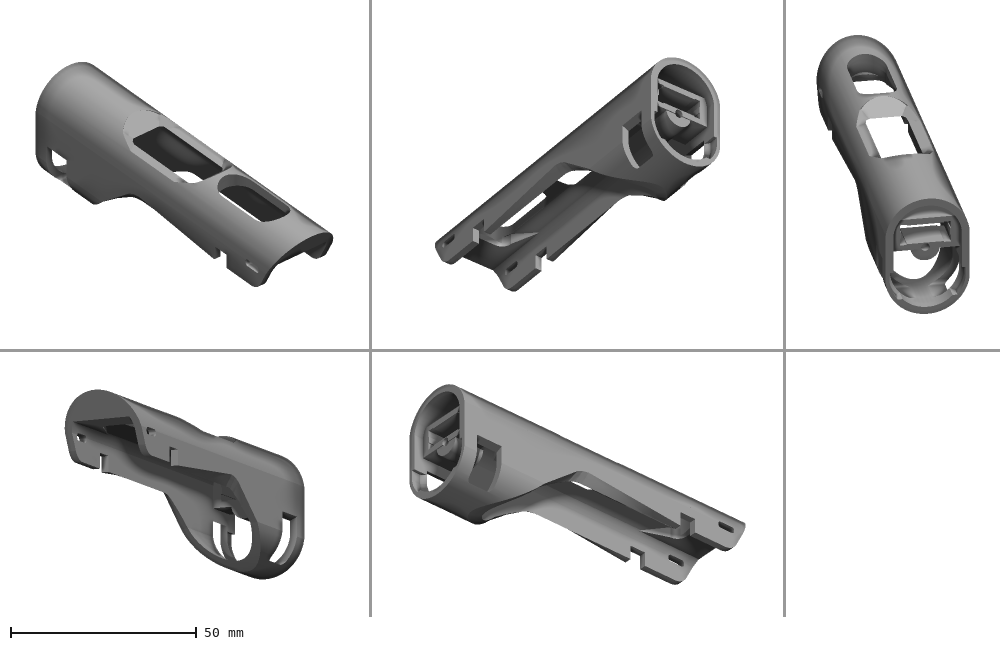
import cadquery as cq
import math


margin = 5.0

length = 103.13
width = 23.0
height = 34.41
half_width = width / 2
arc_rise = 10.0
arc_radius = (half_width**2 + arc_rise**2) / (2 * arc_rise)
wall = 2.1

grip_end_x = 12.3
grip_mid = (17.7, -32.2)
grip_side_end = (28.2, -24.5)
neck_mid = (33.6, -20.9)
neck_top = (39.0, -17.9)
neck_bend = (40.8, -17.3)
belly_x = 43.0
belly_z = -17.1
nose_slope = 5.07 / arc_rise
nose_radius = 4.5

bevel_end = (75.6, belly_z)
bevel_outer = [grip_side_end, (39.7, -15.4), (41.6, -14.5), (43.7, -14.1), bevel_end]
bevel_inner = [grip_side_end, (38.3, -18.2), (40.6, -17.5), (belly_x, belly_z), bevel_end]

roof_z = -4.1
roof_half_width = 5.4
rear_cavity_end = 22.0
roof_start = 27.0

bulkhead_x = 3.0
bulkhead_thickness = 10.0
bulkhead_top = -7.2
bulkhead_bottom = -16.4
socket_width = 14.0
socket_top = -8.75
socket_bottom = -14.8
rib_height = 0.25
long_rib = 10.2
short_rib = 1.9
pin_hole_diameter = 2.36
pin_z = -15.95
pin_boss_radius = 4.0
pin_boss_setback = 0.3

relief_wall = 1.1
relief_straight = 2.9
relief_end = 4.4
relief_top = -21.3
relief_bottom = -29.4

side_window_x = (4.4, 13.1)
side_window_top = -19.0
side_window_bottom = -32.0
side_window_slope = 0.95
side_window_radius = 1.2

dish_x = (28.1, 64.7)
dish_half_width = 8.8
dish_floor = -4.4
dish_side_run = 38.0
dish_corner_run = 6.3
pane_x = (33.3, 59.5)
pane_width = 11.5
pane_corner = 1.5

slot_window_x = (66.5, 91.2)
slot_window_width = 10.8
nose_block_x = 89.8
nose_block_corner = 3.0
nose_block_flank_x = 76.0
nose_block_bottom = -7.4
ledge_crown = -5.4
ledge_drop = 1.6

notch_x = (76.1, 81.2)
notch_top = -12.75
strap_slot_x = (89.4, 94.9)
strap_slot_z = (-11.6, -9.6)
strap_slot_radius = 0.8


def box(x_range, y_range, z_range):
    size = [high - low for low, high in (x_range, y_range, z_range)]
    return cq.Workplane("XY").box(*size, centered=False).translate((x_range[0], y_range[0], z_range[0]))


def across(x_range, z_range):
    """Box running through the full width of the body."""
    return box(x_range, (-width, width), z_range)


def section(plane, thickness):
    """Body cross-section moved inwards by the given thickness."""
    radius = arc_radius - thickness
    half = half_width - thickness
    rise = math.sqrt(radius**2 - half**2)
    upper_centre = -arc_radius
    lower_centre = arc_radius - height
    return (
        plane.moveTo(-half, upper_centre + rise)
        .threePointArc((0, upper_centre + radius), (half, upper_centre + rise))
        .lineTo(half, lower_centre - rise)
        .threePointArc((0, lower_centre - radius), (-half, lower_centre - rise))
        .close()
    )


def tube(thickness, x_end):
    """Solid bar of the body section, from the open end to x_end."""
    return section(cq.Workplane("YZ"), thickness).extrude(x_end)


def side_profile():
    """Outline of the body seen from the side, cut through the full width."""
    corner_x = length + nose_slope * belly_z
    profile = (
        cq.Workplane("XZ").moveTo(0, 0)
        .lineTo(length, 0)
        .lineTo(corner_x, belly_z)
        .lineTo(belly_x, belly_z)
        .threePointArc(neck_bend, neck_top)
        .threePointArc(neck_mid, grip_side_end)
        .threePointArc(grip_mid, (grip_end_x, -height))
        .lineTo(0, -height)
        .close()
        .extrude(half_width, both=True)
    )
    nose_corner = cq.selectors.NearestToPointSelector((corner_x, 0, belly_z))
    return profile.edges("|Y").edges(nose_corner).fillet(nose_radius)


def edge_bevel(side):
    """Wedge that lifts the outer lower edge of one side wall."""
    def wire(points, y):
        floor = [(points[-1][0], -height), (points[0][0], -height)]
        corners = [cq.Vector(x, side * y, z) for x, z in points + floor]
        return cq.Wire.makePolygon(corners, close=True)

    inner = wire(bevel_inner, half_width - wall)
    outer = wire(bevel_outer, half_width)
    return cq.Workplane(cq.Solid.makeLoft([inner, outer], True))


def roof_section(plane, top, flat_half_width):
    """Cavity limit with a flat roof and 45 degree shoulders."""
    shoulder = half_width - flat_half_width
    return plane.polyline([
        (-half_width, -height),
        (-half_width, top - shoulder),
        (-flat_half_width, top),
        (flat_half_width, top),
        (half_width, top - shoulder),
        (half_width, -height),
    ]).close()


def cavity():
    """Hollow with a round rear chamber that steps down to a lower faceted roof."""
    rise = -wall - roof_z
    rear = across((0, rear_cavity_end), (-height, 0))
    step = roof_section(cq.Workplane("YZ").workplane(offset=rear_cavity_end), -wall, roof_half_width + rise)
    step = roof_section(step.workplane(offset=roof_start - rear_cavity_end), roof_z, roof_half_width)
    step = step.loft(ruled=True)
    front_plane = cq.Workplane("YZ").workplane(offset=roof_start)
    front = roof_section(front_plane, roof_z, roof_half_width).extrude(length - roof_start)
    return tube(wall, length).intersect(rear.union(step).union(front))


def rim_relief():
    """Shallow widening of the bore behind the rim that tapers back to the wall."""
    straight = tube(relief_wall, relief_straight)
    taper = section(cq.Workplane("YZ").workplane(offset=relief_straight), relief_wall)
    taper = section(taper.workplane(offset=relief_end - relief_straight), wall).loft(ruled=True)
    return straight.union(taper).intersect(across((0, relief_end), (relief_bottom, relief_top)))


def bulkhead():
    """Plate across the cavity with a ribbed socket and a pin hole in a round boss."""
    x_range = (bulkhead_x, bulkhead_x + bulkhead_thickness)
    half_socket = socket_width / 2
    plate = across(x_range, (bulkhead_bottom, bulkhead_top)).intersect(tube(wall / 2, length))
    socket = box(x_range, (-half_socket, half_socket), (socket_bottom, socket_top))
    middle = (socket_top + socket_bottom) / 2
    for z_range in ((socket_top - rib_height, socket_top), (socket_bottom, socket_bottom + rib_height)):
        socket = socket.cut(box(x_range, (-long_rib / 2, long_rib / 2), z_range))
    for y_range in ((-half_socket, rib_height - half_socket), (half_socket - rib_height, half_socket)):
        socket = socket.cut(box(x_range, y_range, (middle - short_rib / 2, middle + short_rib / 2)))
    pin_plane = cq.Workplane("YZ").workplane(offset=bulkhead_x).center(0, pin_z)
    boss = pin_plane.circle(pin_boss_radius).extrude(bulkhead_thickness)
    boss = boss.intersect(across((bulkhead_x + pin_boss_setback, x_range[1]), (-height, pin_z)))
    pin_hole = pin_plane.circle(pin_hole_diameter / 2).extrude(bulkhead_thickness)
    return plate.union(boss).cut(socket).cut(pin_hole)


def nose_block():
    """Filling of the upper cavity at the nose, its rear face hollowed between splayed flanks."""
    half_slot = slot_window_width / 2
    arc_mid = nose_block_corner * (1 - math.sqrt(0.5))
    flank_y = half_width - wall
    plan = (
        cq.Workplane("XY", origin=(0, 0, nose_block_bottom)).moveTo(length, flank_y)
        .lineTo(nose_block_flank_x, flank_y)
        .lineTo(nose_block_x - nose_block_corner, half_slot)
        .threePointArc(
            (nose_block_x - arc_mid, half_slot - arc_mid),
            (nose_block_x, half_slot - nose_block_corner),
        )
        .lineTo(nose_block_x, nose_block_corner - half_slot)
        .threePointArc(
            (nose_block_x - arc_mid, arc_mid - half_slot),
            (nose_block_x - nose_block_corner, -half_slot),
        )
        .lineTo(nose_block_flank_x, -flank_y)
        .lineTo(length, -flank_y)
        .close()
        .extrude(-nose_block_bottom)
    )
    return plan.intersect(tube(wall / 2, length))


def side_window():
    """Opening through both sides of the grip, its upper edge falling inwards."""
    window = across(side_window_x, (side_window_bottom, side_window_top - side_window_slope))
    window = window.edges("|Y").edges("<Z").fillet(side_window_radius)
    start, end = side_window_x
    low = side_window_top - side_window_slope
    for side in (-1, 1):
        slope = (
            cq.Workplane("YZ").workplane(offset=start)
            .polyline([
                (side * (half_width - wall), low),
                (side * half_width, side_window_top),
                (side * half_width, low - side_window_radius),
                (side * (half_width - wall), low - side_window_radius),
            ]).close().extrude(end - start)
        )
        window = window.union(slope)
    return window


def flared_trough(half_floor, run, angle):
    """Trough with two sloped sides that face along the direction at the given angle about Z."""
    trough = (
        cq.Workplane("XZ")
        .polyline([
            (-half_floor, dish_floor),
            (half_floor, dish_floor),
            (half_floor + run, 0),
            (-half_floor - run, 0),
        ]).close().extrude(length, both=True)
    )
    return trough.rotate((0, 0, 0), (0, 0, 1), angle)


def dish_window():
    """Recess with a stadium outline whose walls slope down to a smaller opening."""
    dish_length = dish_x[1] - dish_x[0]
    half_x = (pane_x[1] - pane_x[0]) / 2
    half_y = pane_width / 2
    half_diagonal = (half_x + half_y - pane_corner) / math.sqrt(2)
    floor = cq.Workplane("XY", origin=(0, 0, dish_floor))
    dish = floor.slot2D(dish_length, 2 * dish_half_width).extrude(-dish_floor)
    dish = dish.intersect(flared_trough(half_x, dish_length / 2 - half_x, 0))
    dish = dish.intersect(flared_trough(half_y, dish_side_run, 90))
    for angle in (-45, 45):
        dish = dish.intersect(flared_trough(half_diagonal, dish_corner_run, angle))
    pane = floor.rect(2 * half_x, pane_width).extrude(-margin)
    pane = pane.edges("|Z").fillet(pane_corner)
    return dish.union(pane).translate((sum(dish_x) / 2, 0, 0))


def slot_window():
    """Round-ended opening whose curved floor leaves a ledge on the nose block."""
    start, end = slot_window_x
    half_slot = slot_window_width / 2
    depth = -ledge_crown + ledge_drop
    opening = (
        cq.Workplane("XY", origin=((start + end) / 2, 0, -depth))
        .slot2D(end - start, slot_window_width).extrude(depth)
    )
    ledge = (
        cq.Workplane("YZ", origin=(nose_block_x - nose_block_corner, 0, 0))
        .moveTo(-half_slot, -depth)
        .threePointArc((0, ledge_crown), (half_slot, -depth))
        .close().extrude(nose_block_corner + end - nose_block_x)
    )
    return opening.cut(ledge)


def strap_slot():
    return across(strap_slot_x, strap_slot_z).edges("|Y").fillet(strap_slot_radius)


body = tube(0, length).cut(cavity()).union(bulkhead()).union(nose_block())
body = body.cut(rim_relief()).cut(dish_window()).cut(slot_window())
body = body.cut(side_window()).cut(strap_slot())
body = body.cut(across(notch_x, (-height, notch_top)))
body = body.intersect(side_profile())
for wall_side in (-1, 1):
    body = body.cut(edge_bevel(wall_side))

result = body